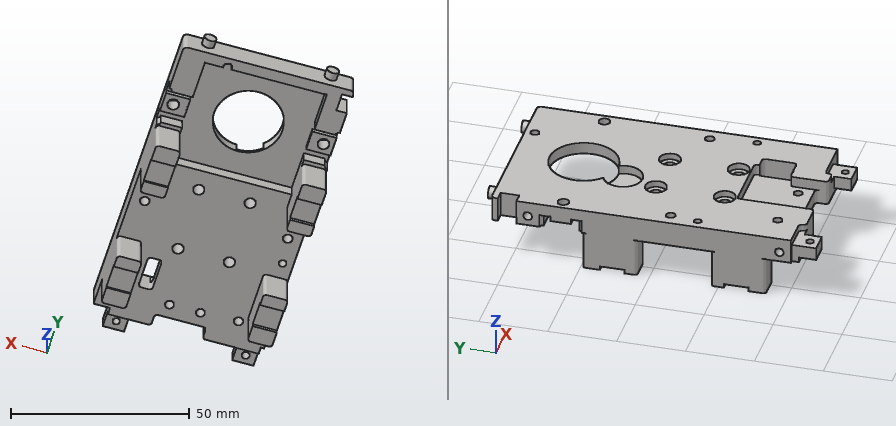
import cadquery as cq

overall_length = 96.5
overall_height = 18.8
plate_width = 50.0
plate_thickness = 7.4
half_width = plate_width / 2
half_length = overall_length / 2

pin_length = 2.4
plate_back = half_length - pin_length
shoulder_front = -41.2
nose_front = -43.2
back_corner_radius = 1.3
corner_radius = 1.0

pin_x = 17.95
pin_diameter = 3.6
pin_depth = 2.9

tab_top = 2.0
tab_bottom = 5.9
tab_width = 6.3
left_tab_outer = -24.0
right_tab_outer = 20.2
left_relief_x = -16.1
right_relief_x = 11.9
relief_radius = (shoulder_front - nose_front) / 2
tab_hole_y = -45.6
tab_holes = [(-20.9, 2.2), (17.0, 2.0)]

leg_width = 7.1
leg_length = 15.8
leg_centers_y = (11.4, -26.0)
groove_width = 7.1
groove_centers_y = (10.7, -25.3)
left_groove_depth = 1.2
right_groove_depth = 0.6

bore_y = 25.7
bore_diameter = 20.0
side_pocket_center = (-4.5, 13.0)
side_pocket_diameter = 11.2
side_pocket_depth = 2.6
web_thickness = 3.6
hollow_length = 33.8
rail_width = leg_width
hollow_width = plate_width - 2 * rail_width

rail_gap_width = 10.3
rail_pad_width = 6.0
rail_pad_bottom = 5.0

edge_notch_back = 43.9
edge_notch_front = 38.5
edge_notch_depth = 3.1

front_gap_half = 7.5
front_pocket_right = 11.1
front_pocket_back = -20.8
front_pocket_step_y = -32.2
front_pocket_depth = 3.2
front_floor_edge = -39.5
slot_left, slot_right = 10.6, 14.7
slot_back = -22.3

counterbore_x = 7.5
counterbore_rows = (2.7, -17.3)
counterbore_hole = 3.2
counterbore_diameter = 6.2
counterbore_depth = 1.9

plain_holes = [
    (11.3, 42.9, 2.5),
    (-22.0, bore_y, 3.3),
    (22.0, bore_y, 3.3),
    (-20.9, -5.2, 2.7),
    (20.9, -5.2, 2.7),
    (-21.9, -13.3, 2.1),
    (-15.5, -34.8, 2.6),
    (-4.5, -35.3, 2.5),
    (4.5, -35.3, 2.5),
]

blind_hole = (22.3, -18.6)
blind_hole_diameter = 2.1
blind_hole_depth = 3.9
side_hole_rows = (35.2, -37.8)
side_hole_diameter = 2.5
side_hole_z = -4.4
side_hole_depth = 3.9


def block(x_min, x_max, y_min, y_max, z_min, z_max):
    """Box between two opposite corners."""
    size = (x_max - x_min, y_max - y_min, z_max - z_min)
    return cq.Workplane("XY").box(*size, centered=False).translate((x_min, y_min, z_min))


def cylinder_down(x, y, diameter, depth):
    """Vertical cylinder reaching from the top face down to a depth."""
    return cq.Workplane("XY").center(x, y).circle(diameter / 2).extrude(-depth)


def make_plate():
    shoulder = block(-half_width, half_width, shoulder_front, plate_back, -plate_thickness, 0)
    shoulder = shoulder.edges("|Z and >Y").fillet(back_corner_radius)
    nose = block(left_tab_outer, right_tab_outer, nose_front, shoulder_front, -plate_thickness, 0)
    return shoulder.union(nose)


def tab_relief(outer_x, inner_x):
    """Step above a tab: a hollow round at its inner corner flows into a bulging one at the nose."""
    toward_center = 1 if inner_x > outer_x else -1
    bend = toward_center * relief_radius
    return (
        cq.Workplane("XY")
        .moveTo(outer_x, nose_front)
        .lineTo(outer_x, shoulder_front)
        .lineTo(inner_x - bend, shoulder_front)
        .radiusArc((inner_x, shoulder_front - relief_radius), toward_center * relief_radius)
        .radiusArc((inner_x + bend, nose_front), -toward_center * relief_radius)
        .close()
        .extrude(-tab_top)
    )


def make_tabs():
    left_inner = left_tab_outer + tab_width
    right_inner = right_tab_outer - tab_width
    left = block(left_tab_outer, left_inner, -half_length, shoulder_front, -tab_bottom, -tab_top)
    right = block(right_inner, right_tab_outer, -half_length, shoulder_front, -tab_bottom, -tab_top)
    return left.union(right)


def make_legs():
    legs = cq.Workplane("XY")
    for side, groove_depth in ((-1, left_groove_depth), (1, right_groove_depth)):
        leg_x = side * (half_width - leg_width / 2)
        for leg_y, groove_y in zip(leg_centers_y, groove_centers_y):
            leg = (
                cq.Workplane("XY", origin=(leg_x, leg_y, -overall_height))
                .rect(leg_width, leg_length)
                .extrude(overall_height - plate_thickness)
                .edges("|Z")
                .fillet(corner_radius)
            )
            groove = (
                cq.Workplane("XY", origin=(leg_x, groove_y, -overall_height))
                .rect(leg_width, groove_width)
                .extrude(groove_depth)
            )
            legs = legs.add(leg.cut(groove))
    return legs.combine()


def make_pins():
    return (
        cq.Workplane("XZ", origin=(0, plate_back, -pin_depth))
        .pushPoints([(-pin_x, 0), (pin_x, 0)])
        .circle(pin_diameter / 2)
        .extrude(-pin_length)
    )


def hollow():
    """Room under the large opening, between the side rails."""
    return (
        cq.Workplane("XY", origin=(0, bore_y, -plate_thickness))
        .rect(hollow_width, hollow_length)
        .extrude(plate_thickness - web_thickness)
    )


def rail_gap(side):
    """Gap through one side rail whose outer mouth edges are rounded."""
    outer_x = side * half_width
    inner_x = outer_x - side * rail_width
    half_gap = rail_gap_width / 2
    mouth_half = half_gap + corner_radius
    rounded_x = outer_x - side * corner_radius
    gap = (
        cq.Workplane("XY", origin=(0, bore_y, -plate_thickness))
        .moveTo(inner_x, -half_gap)
        .lineTo(rounded_x, -half_gap)
        .radiusArc((outer_x, -mouth_half), -side * corner_radius)
        .lineTo(outer_x, mouth_half)
        .radiusArc((rounded_x, half_gap), -side * corner_radius)
        .lineTo(inner_x, half_gap)
        .close()
        .extrude(plate_thickness - web_thickness)
    )
    pad = (
        cq.Workplane("XY", origin=(side * (half_width - rail_width / 2), bore_y, -rail_pad_bottom))
        .rect(rail_width, rail_pad_width)
        .extrude(rail_pad_bottom - web_thickness)
    )
    return gap.cut(pad)


def front_pocket():
    """Stepped pocket, open at the front."""
    pocket = block(-front_gap_half, front_pocket_right, front_pocket_step_y, front_pocket_back,
                   -front_pocket_depth, 0)
    pocket = pocket.edges("|Z and >Y").fillet(corner_radius)
    channel = block(-front_gap_half, front_gap_half, nose_front, front_pocket_step_y,
                    -front_pocket_depth, 0)
    pocket = pocket.union(channel)
    step_corner = cq.selectors.NearestToPointSelector(
        (front_gap_half, front_pocket_step_y, -front_pocket_depth / 2)
    )
    return pocket.edges(step_corner).fillet(corner_radius)


def front_gap():
    """Full-height gap between the noses, flared at its mouth and rounded at its back."""
    gap = block(-front_gap_half, front_gap_half, nose_front, front_floor_edge, -plate_thickness, 0)
    gap = gap.edges("|Z and >Y").fillet(corner_radius)
    for side in (-1, 1):
        flare = (
            cq.Workplane("XY")
            .moveTo(side * front_gap_half, nose_front)
            .lineTo(side * front_gap_half, nose_front + corner_radius)
            .radiusArc((side * (front_gap_half + corner_radius), nose_front), -side * corner_radius)
            .close()
            .extrude(-plate_thickness)
        )
        gap = gap.union(flare)
    return gap


def cable_slot():
    slot = block(slot_left, slot_right, front_pocket_step_y, slot_back, -plate_thickness, 0)
    return slot.edges("|Z").fillet(corner_radius)


def edge_notch():
    return block(-half_width, -half_width + edge_notch_depth, edge_notch_front, edge_notch_back,
                 -plate_thickness, 0)


def side_holes():
    return (
        cq.Workplane("YZ", origin=(-half_width, 0, side_hole_z))
        .pushPoints([(y, 0) for y in side_hole_rows])
        .circle(side_hole_diameter / 2)
        .extrude(side_hole_depth)
    )


body = make_plate()
body = body.cut(tab_relief(left_tab_outer, left_relief_x))
body = body.cut(tab_relief(right_tab_outer, right_relief_x))
body = body.union(make_tabs()).union(make_legs()).union(make_pins())

body = body.cut(hollow()).cut(rail_gap(-1)).cut(rail_gap(1))
body = body.cut(front_pocket()).cut(front_gap()).cut(cable_slot()).cut(edge_notch())
body = body.cut(cylinder_down(0, bore_y, bore_diameter, plate_thickness))
body = body.cut(cylinder_down(*side_pocket_center, side_pocket_diameter, side_pocket_depth))

for row_y in counterbore_rows:
    for hole_x in (-counterbore_x, counterbore_x):
        body = body.cut(cylinder_down(hole_x, row_y, counterbore_hole, plate_thickness))
        body = body.cut(cylinder_down(hole_x, row_y, counterbore_diameter, counterbore_depth))

for hole_x, hole_y, hole_diameter in plain_holes:
    body = body.cut(cylinder_down(hole_x, hole_y, hole_diameter, plate_thickness))
for hole_x, hole_diameter in tab_holes:
    body = body.cut(cylinder_down(hole_x, tab_hole_y, hole_diameter, plate_thickness))

body = body.cut(cylinder_down(*blind_hole, blind_hole_diameter, blind_hole_depth))
result = body.cut(side_holes())